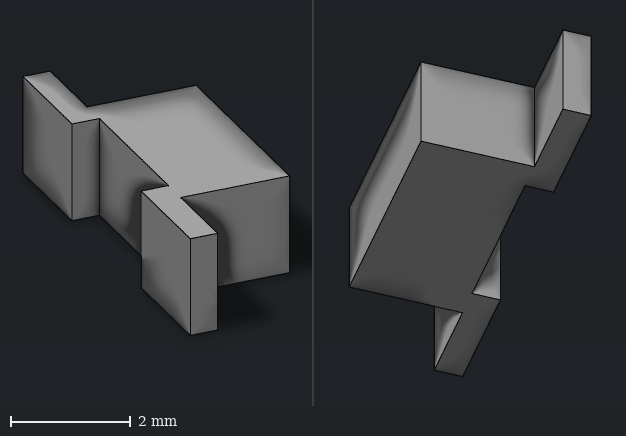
import cadquery as cq

overall_width = 6.8
height = 1.8
body_width = 3.8
body_depth = 2.0
foot_thickness = 0.5
foot_gap = 2.8

foot_length = (overall_width - foot_gap) / 2
foot_center = (foot_gap + foot_length) / 2


def make_body():
    """Rectangular block whose front face lies on Y = 0."""
    return cq.Workplane("XY").box(body_width, body_depth, height, centered=(True, False, True))


def make_foot(side):
    """Flat foot in front of the body; side is -1 for left, +1 for right."""
    foot = cq.Workplane("XY").box(foot_length, foot_thickness, height)
    return foot.translate((side * foot_center, -foot_thickness / 2, 0))


result = make_body()
for side in (-1, 1):
    result = result.union(make_foot(side))
result = result.clean()